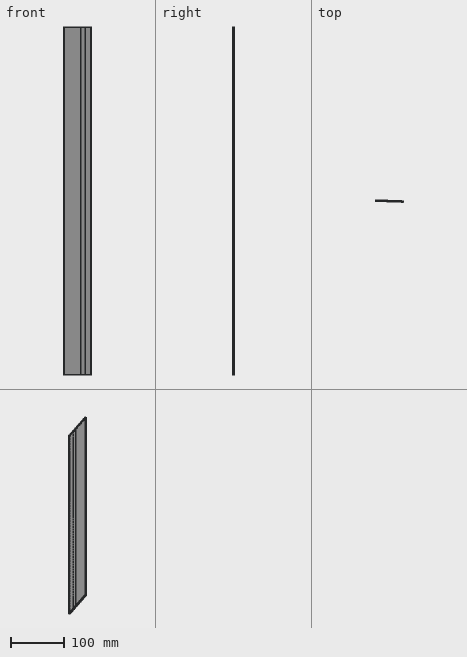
import cadquery as cq

plank_width = 51.0
plank_thickness = 1.9
plank_length = 656.0

tilt_angle = 2.0

strip_width = 8.0
strip_height = 0.05
strip_edge_distance = 11.0


def make_plank():
    """Plank centred on the Z axis, with its base at Z = 0."""
    return cq.Workplane("XY").box(
        plank_width, plank_thickness, plank_length, centered=(True, True, False)
    )


def make_strip():
    """Raised strip that starts at the plank mid-plane and stands proud of the -Y face."""
    strip_left = plank_width / 2 - strip_edge_distance - strip_width
    strip_depth = plank_thickness / 2 + strip_height
    return (
        cq.Workplane("XY")
        .box(strip_width, strip_depth, plank_length, centered=False)
        .translate((strip_left, -strip_depth, 0))
    )


flat_part = make_plank().union(make_strip())
result = flat_part.rotate((0, 0, 0), (0, 0, 1), -tilt_angle)